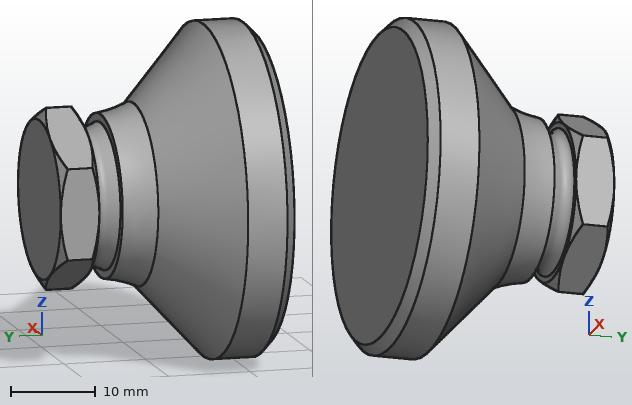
import cadquery as cq
import math

foot_radius = 20.0
foot_chamfer = 1.2
rim_top = 6.0
cone_top = 14.5
cone_top_radius = 10.9
collar_top = 18.5
collar_top_radius = 9.8
collar_hollow = 0.15

neck_base_radius = 8.8
groove_start = 19.85
groove_start_radius = 8.15
groove_bottom = 20.4
groove_radius = 8.1
groove_end_radius = 8.8

overall_height = 26.0
hex_height = 4.7
hex_across_flats = 19.0
hex_chamfer_angle = 30.0

hex_base = overall_height - hex_height
hex_across_corners = hex_across_flats / math.cos(math.radians(30))


def revolve_about_y(profile):
    return profile.close().revolve(360, (0, 0, 0), (0, 1, 0))


def make_foot():
    collar_middle = (
        (cone_top_radius + collar_top_radius) / 2 - collar_hollow,
        (cone_top + collar_top) / 2,
    )
    profile = (
        cq.Workplane("XY")
        .lineTo(foot_radius - foot_chamfer, 0)
        .lineTo(foot_radius, foot_chamfer)
        .lineTo(foot_radius, rim_top)
        .lineTo(cone_top_radius, cone_top)
        .threePointArc(collar_middle, (collar_top_radius, collar_top))
        .lineTo(0, collar_top)
    )
    return revolve_about_y(profile)


def make_neck():
    profile = (
        cq.Workplane("XY")
        .moveTo(0, collar_top)
        .lineTo(neck_base_radius, collar_top)
        .lineTo(groove_start_radius, groove_start)
        .threePointArc((groove_radius, groove_bottom), (groove_end_radius, hex_base))
        .lineTo(0, hex_base)
    )
    return revolve_about_y(profile)


def make_hexagon():
    prism = (
        cq.Workplane("XZ", origin=(0, hex_base, 0))
        .transformed(rotate=(0, 0, 90))
        .polygon(6, hex_across_corners)
        .extrude(-hex_height)
    )
    end_radius = hex_across_flats / 2
    corner_radius = hex_across_corners / 2
    chamfer_height = (corner_radius - end_radius) * math.tan(math.radians(hex_chamfer_angle))
    envelope = (
        cq.Workplane("XY")
        .moveTo(0, hex_base)
        .lineTo(end_radius, hex_base)
        .lineTo(corner_radius, hex_base + chamfer_height)
        .lineTo(corner_radius, overall_height - chamfer_height)
        .lineTo(end_radius, overall_height)
        .lineTo(0, overall_height)
    )
    return prism.intersect(revolve_about_y(envelope))


result = make_foot().union(make_neck()).union(make_hexagon())